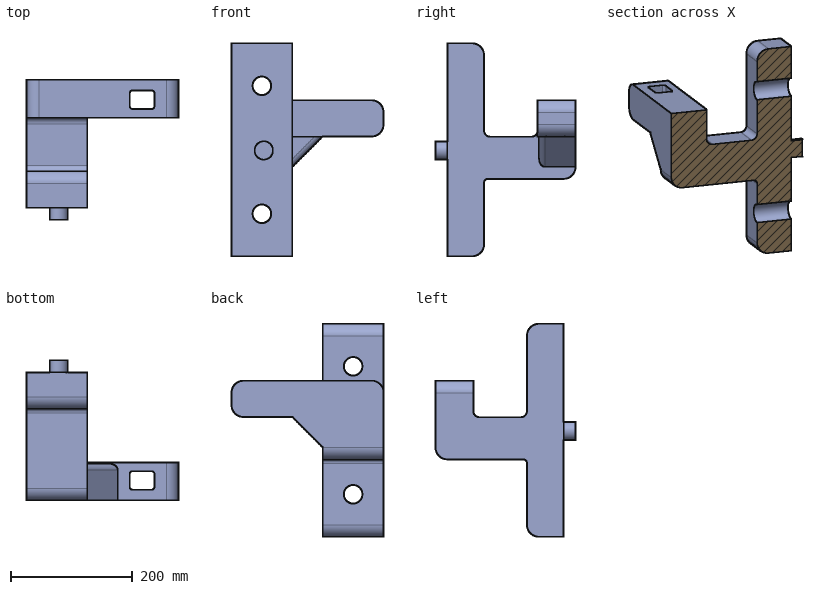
import cadquery as cq


plate_width = 100.0
plate_thickness = 60.2
plate_height = 350.0
outer_radius = 20.0

shelf_bottom = 127.0
shelf_top = 196.7
shelf_top_radius = 9.8
shelf_bottom_radius = 6.0

arm_length = 250.0
arm_thickness = 62.5
arm_height = 60.0
arm_back = 210.5
arm_front = arm_back - arm_thickness
arm_top = shelf_top + arm_height

brace_reach = shelf_top - shelf_bottom - outer_radius
brace_set_back = 2.5
brace_thickness = arm_thickness - brace_set_back
brace_edge_radius = 9.8

hole_diameter = 30.0
hole_inset = 70.0
pin_diameter = 30.0
pin_length = 20.0
pin_x = 53.2
pin_z = 174.0

slot_length = 40.2
slot_width = 30.0
slot_radius = 4.5
slot_end_distance = 40.0
slot_back_distance = 18.0


def block(x_size, y_start, y_end, z_start, z_end):
    """Box that starts at X = 0."""
    size = (x_size, y_end - y_start, z_end - z_start)
    return cq.Workplane("XY").box(*size, centered=False).translate((0, y_start, z_start))


def edge_along_x(y, z):
    """Selector for the X-direction edge at the given Y and Z."""
    margin = 0.5
    return cq.selectors.BoxSelector(
        (-margin, y - margin, z - margin),
        (plate_width + margin, y + margin, z + margin),
    )


def make_bracket():
    """Plate and shelf, with the shelf reaching to the back of the arm."""
    plate = block(plate_width, 0, plate_thickness, 0, plate_height)
    shelf = block(plate_width, 0, arm_back, shelf_bottom, shelf_top)
    root = block(plate_width, arm_front, arm_back, shelf_bottom, arm_top - outer_radius)
    bracket = plate.union(shelf).union(root)
    for y, z, radius in (
        (plate_thickness, 0, outer_radius),
        (plate_thickness, plate_height, outer_radius),
        (arm_back, shelf_bottom, outer_radius),
        (plate_thickness, shelf_bottom, shelf_bottom_radius),
        (plate_thickness, shelf_top, shelf_top_radius),
        (arm_front, shelf_top, shelf_top_radius),
    ):
        bracket = bracket.edges(edge_along_x(y, z)).fillet(radius)
    return bracket


def make_arm():
    """Horizontal bar, rounded at both upper corners and at the lower free corner."""
    arm = block(arm_length, arm_front, arm_back, shelf_top, arm_top)
    return arm.edges("|Y").edges(">X or >Z").fillet(outer_radius)


def make_brace():
    """Triangular brace between shelf and arm, with a rounded front sloping edge."""
    brace = (
        cq.Workplane("XZ", origin=(plate_width, arm_back, shelf_top))
        .polyline([(0, 0), (brace_reach, 0), (0, -brace_reach)])
        .close()
        .extrude(brace_thickness)
    )
    sloping_front_edge = brace.faces("<Y").edges("(not |X) and (not |Z)")
    return sloping_front_edge.fillet(brace_edge_radius)


def cut_holes(body):
    """Two mounting holes on the plate's centre line."""
    for z in (hole_inset, plate_height - hole_inset):
        hole = (
            cq.Workplane("XZ", origin=(plate_width / 2, 0, z))
            .circle(hole_diameter / 2)
            .extrude(-plate_thickness)
        )
        body = body.cut(hole)
    return body


def make_pin():
    """Locating pin that stands out from the mounting face."""
    return cq.Workplane("XZ", origin=(pin_x, 0, pin_z)).circle(pin_diameter / 2).extrude(pin_length)


def make_slot():
    """Cutter for the rounded rectangular slot near the arm's free end."""
    slot_x = arm_length - slot_end_distance - slot_length / 2
    slot_y = arm_back - slot_back_distance - slot_width / 2
    return (
        cq.Workplane("XY", origin=(slot_x, slot_y, shelf_top))
        .rect(slot_length, slot_width)
        .extrude(arm_height)
        .edges("|Z")
        .fillet(slot_radius)
    )


body = make_bracket().union(make_arm()).union(make_brace()).union(make_pin())
result = cut_holes(body).cut(make_slot())